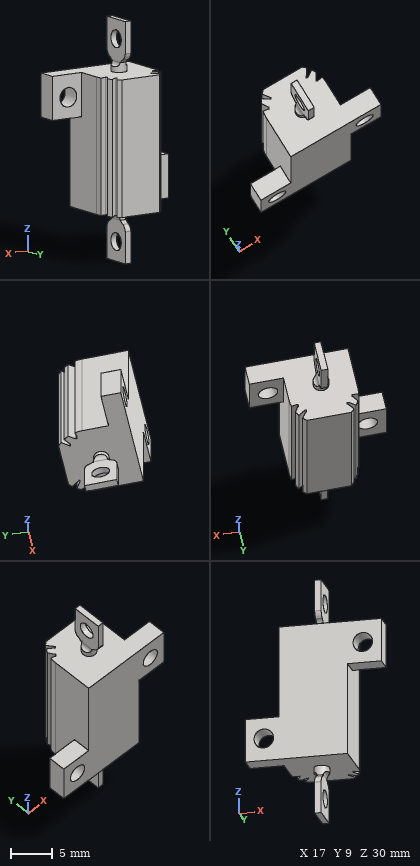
import cadquery as cq
import math

total_length = 30.0
total_width = 17.0
total_height = 9.0

body_length = 17.05
body_width = 8.55
crown_center_y = 5.73

groove_corners = [
    [(2.5, 7.62), (3.25, 8.65), (3.6, 8.15), (2.7, 7.53)],
    [(3.33, 6.72), (3.87, 7.55), (4.25, 6.65), (3.48, 6.55)],
]
groove_overrun = 1.4
groove_tip_bulge = 0.25

ear_length = 5.5
left_ear_thickness = 2.45
right_ear_thickness = 2.52
ear_hole_diameter = 2.4
ear_hole_x = 6.18
ear_hole_z = 5.67

lead_y = 4.3
pin_diameter = 1.92
tab_width = 4.02
tab_thickness = 0.85
tab_hole_diameter = 2.2
tab_hole_from_end = 2.45
tab_straight_length = 4.0
tab_neck_length = 1.25
tab_corner_radius = 1.2
tab_corner_end_y = 1.5
tab_corner_end_z = 10.17
tab_neck_radius = 1.02

half_body_length = body_length / 2
half_body_width = body_width / 2
half_length = total_length / 2


def box_between(low, high):
    """Box spanning two opposite corners."""
    sizes = [b - a for a, b in zip(low, high)]
    return cq.Workplane("XY").box(*sizes, centered=False).translate(low)


def make_groove(corners):
    """Tapered groove along the body, with a rounded tip."""
    upper_tip, upper_mouth, lower_mouth, lower_tip = [cq.Vector(*c) for c in corners]
    upper_end = upper_tip + (upper_mouth - upper_tip) * groove_overrun
    lower_end = lower_tip + (lower_mouth - lower_tip) * groove_overrun
    tip_chord = lower_tip - upper_tip
    inward = cq.Vector(tip_chord.y, -tip_chord.x)
    tip_middle = (upper_tip + lower_tip) * 0.5 + inward * groove_tip_bulge
    return (
        cq.Workplane("XY", origin=(0, 0, -half_body_length))
        .moveTo(upper_tip.x, upper_tip.y)
        .lineTo(upper_end.x, upper_end.y)
        .lineTo(lower_end.x, lower_end.y)
        .lineTo(lower_tip.x, lower_tip.y)
        .threePointArc((tip_middle.x, tip_middle.y), (upper_tip.x, upper_tip.y))
        .close()
        .extrude(body_length)
    )


def make_body():
    """Block with rounded upper shoulders and mirrored grooves."""
    crown_radius = half_body_width
    crown_top_x = math.sqrt(crown_radius**2 - (total_height - crown_center_y) ** 2)
    arc_middle = crown_radius * math.sqrt(0.5)
    body = (
        cq.Workplane("XY", origin=(0, 0, -half_body_length))
        .moveTo(-half_body_width, 0)
        .lineTo(half_body_width, 0)
        .lineTo(half_body_width, crown_center_y)
        .threePointArc((arc_middle, crown_center_y + arc_middle), (crown_top_x, total_height))
        .lineTo(-crown_top_x, total_height)
        .threePointArc((-arc_middle, crown_center_y + arc_middle), (-half_body_width, crown_center_y))
        .close()
        .extrude(body_length)
    )
    for corners in groove_corners:
        groove = make_groove(corners)
        body = body.cut(groove).cut(groove.mirror("YZ"))
    return body


def make_ear(side, thickness):
    """Drilled ear; side is +1 for the +X, +Z corner and -1 for the opposite one."""
    x_ends = sorted([0, side * total_width / 2])
    z_ends = sorted([side * half_body_length, side * (half_body_length - ear_length)])
    ear = box_between((x_ends[0], 0, z_ends[0]), (x_ends[1], thickness, z_ends[1]))
    hole = (
        cq.Workplane("XZ", origin=(side * ear_hole_x, 0, side * ear_hole_z))
        .circle(ear_hole_diameter / 2)
        .extrude(-thickness)
    )
    return ear.cut(hole)


def make_lead():
    """Round pin on the +Z end, flattened into a drilled solder tab."""
    pin_radius = pin_diameter / 2
    half_thickness = tab_thickness / 2
    half_width = tab_width / 2
    shoulder_radius = pin_radius - half_thickness
    straight_z = half_length - tab_straight_length
    neck_z = straight_z - tab_neck_length

    pin = (
        cq.Workplane("XY", origin=(0, lead_y, half_body_length))
        .circle(pin_radius)
        .extrude(neck_z - half_body_length)
    )
    for side in (-1, 1):
        scoop = (
            cq.Workplane("XZ", origin=(side * pin_radius, 0, neck_z))
            .circle(shoulder_radius)
            .extrude(-total_height)
        )
        pin = pin.cut(scoop)

    half_tab = (
        cq.Workplane("YZ", origin=(-half_thickness, lead_y, 0))
        .moveTo(0, half_length)
        .lineTo(half_width, half_length)
        .lineTo(half_width, straight_z)
        .radiusArc((tab_corner_end_y, tab_corner_end_z), tab_corner_radius)
        .radiusArc((pin_radius, neck_z), -tab_neck_radius)
        .lineTo(0, neck_z)
        .close()
        .extrude(tab_thickness)
    )
    tab = half_tab.union(half_tab.mirror("XZ", (0, lead_y, 0)))
    tab = (
        tab.faces(">X")
        .workplane(origin=(0, lead_y, half_length - tab_hole_from_end))
        .circle(tab_hole_diameter / 2)
        .cutThruAll()
    )
    return pin.union(tab)


lead = make_lead()
result = (
    make_body()
    .union(make_ear(-1, left_ear_thickness))
    .union(make_ear(1, right_ear_thickness))
    .union(lead)
    .union(lead.mirror("XY"))
)